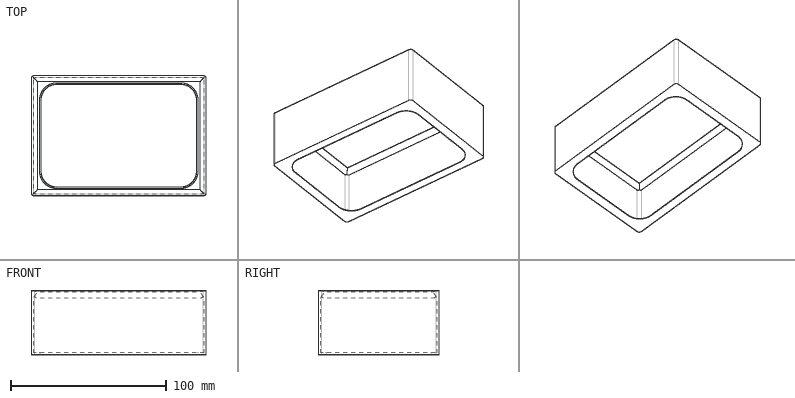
import cadquery as cq

length = 112.6
width = 77.6
height = 41.3
corner_radius = 2.0

wall = 1.3
floor_thickness = wall
rim_width = wall

neck_inset = 4.0
dish_depth = 0.8
lip_underside_height = 3.85
neck_z = height - dish_depth
lip_bottom_z = neck_z - lip_underside_height

opening_length = 100.0
opening_width = 66.0
opening_radius = 10.0
flare = 1.0
opening_land = floor_thickness - flare


def inset_outline(inset):
    """Sharp-cornered rectangle set in from the outer faces."""
    return cq.Sketch().rect(length - 2 * inset, width - 2 * inset)


def round_outline(inset):
    """Rectangle set in from the outer faces, with the shell's corner radius."""
    return inset_outline(inset).vertices().fillet(corner_radius)


def opening_outline(growth):
    """Outline of the floor opening, grown evenly outwards."""
    outline = cq.Sketch().rect(opening_length + 2 * growth, opening_width + 2 * growth)
    return outline.vertices().fillet(opening_radius + growth)


def prism(outline, z_bottom, z_top):
    """Straight block between two heights."""
    plane = cq.Workplane("XY").workplane(offset=z_bottom)
    return plane.placeSketch(outline).extrude(z_top - z_bottom)


def tapered_block(bottom_outline, z_bottom, top_outline, z_top):
    """Block whose sides slope from one outline to another."""
    raised_top = top_outline.moved(cq.Location(cq.Vector(0, 0, z_top - z_bottom)))
    plane = cq.Workplane("XY").workplane(offset=z_bottom)
    return plane.placeSketch(bottom_outline, raised_top).loft()


def make_cavity():
    """Round-cornered cavity that narrows to the neck with mitred slopes under the lip."""
    column = prism(round_outline(wall), floor_thickness, neck_z)
    below_lip = prism(inset_outline(wall), floor_thickness, lip_bottom_z)
    under_lip = tapered_block(inset_outline(wall), lip_bottom_z, inset_outline(neck_inset), neck_z)
    return column.intersect(below_lip.union(under_lip))


def make_dish():
    """Shallow mitred slope from the rim down to the neck."""
    return tapered_block(inset_outline(neck_inset), neck_z, inset_outline(rim_width), height)


def make_floor_opening():
    """Floor opening: a short straight land below the flare."""
    land = prism(opening_outline(0), 0, opening_land)
    flared = tapered_block(opening_outline(0), opening_land, opening_outline(flare), floor_thickness)
    return land.union(flared)


shell = prism(round_outline(0), 0, height)
result = shell.cut(make_cavity()).cut(make_dish()).cut(make_floor_opening())